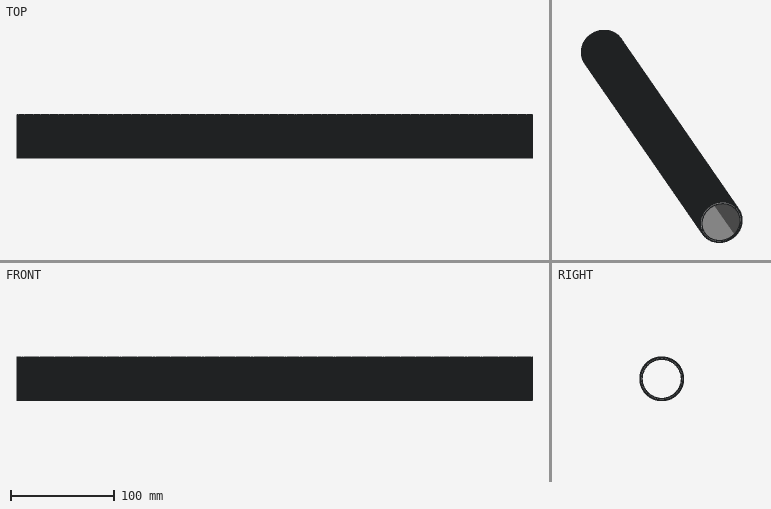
import cadquery as cq
import math

length = 500.0
outer_radius = 42.5 / 2
bore_radius = 19.0

pitch = 1.25
crest_width = pitch / 8
root_width = pitch / 4
flank_width = (pitch - crest_width - root_width) / 2
flank_angle = math.radians(30)
root_radius = outer_radius - flank_width / math.tan(flank_angle)

crest_angle = 148.5
helix_start_angle = 90.0

turns_per_segment = 2
segment_length = turns_per_segment * pitch
segment_count = round(length / segment_length) + 1
thread_start = -(length + segment_length) / 2

plane_tolerance = 5e-06

center = cq.Vector(0, 0, 0)
axis = cq.Vector(1, 0, 0)


def helix(radius, offset):
    """One segment of helix, moved along the axis from the start of the thread."""
    curve = cq.Wire.makeHelix(pitch, segment_length, radius, dir=axis).Edges()[0]
    return curve.translate(axis * (thread_start + offset))


def first_segment():
    """Faces of the first thread segment: crest, falling flank, root and rising flank."""
    crest_end = crest_width / 2
    root_start = crest_end + flank_width
    edges = [
        helix(outer_radius, -crest_end),
        helix(outer_radius, crest_end),
        helix(root_radius, root_start),
        helix(root_radius, root_start + root_width),
        helix(outer_radius, pitch - crest_end),
    ]
    faces = [cq.Face.makeRuledSurface(a, b) for a, b in zip(edges, edges[1:])]
    return [face.rotate(center, axis, crest_angle - helix_start_angle) for face in faces]


def trimmed(faces):
    """The parts of the faces that lie between the two end planes."""
    block_width = 3 * outer_radius
    block = cq.Workplane().box(length, block_width, block_width).val()
    return [piece for face in faces for piece in face.intersect(block).Faces()]


def end_face(x, thread_faces, bore_circle):
    """Flat end at x, bounded by the cut thread outside and the bore inside."""
    edges = [
        edge
        for face in thread_faces
        for edge in face.Edges()
        if abs(edge.Center().x - x) < plane_tolerance
    ]
    return cq.Face.makeFromWires(cq.Wire.assembleEdges(edges), [bore_circle])


segment = first_segment()
segments = [
    [face.translate(axis * (segment_length * i)) for face in segment]
    for i in range(segment_count)
]
segments[0] = trimmed(segments[0])
segments[-1] = trimmed(segments[-1])

bore = cq.Workplane("YZ", origin=(-length / 2, 0, 0)).circle(bore_radius).extrude(length)

skin = [face for faces in segments for face in faces]
skin += bore.faces("%CYLINDER").vals()
skin.append(end_face(-length / 2, segments[0], bore.faces("<X").wires().val()))
skin.append(end_face(length / 2, segments[-1], bore.faces(">X").wires().val()))
result = cq.Solid.makeSolid(cq.Shell.makeShell(skin))